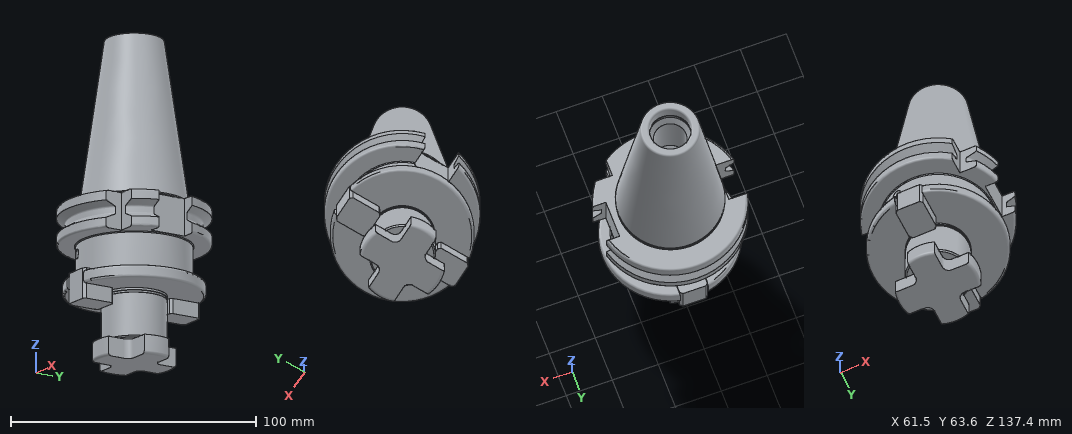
import math

import cadquery as cq


CLEARANCE = 1.0

GAUGE_R = 44.45 / 2
TAPER_SLOPE = 7 / 24 / 2
TAPER_TOP_Z = 68.4
TAPER_LOW_Z = -1.4
TAPER_TOP_FILLET = 1.0
NECK_R = 22.0
NECK_STEP = 0.4
NECK_LOW_Z = -2.2
NECK_FLARE_R = 22.3
NECK_FLARE_Z = -2.7

FLANGE_R = 63.55 / 2
FLANGE_TOP_Z = -3.2
FLANGE_LOW_Z = -19.1
FLANGE_FILLET = 1.0
GROOVE_MID_Z = -11.1
GROOVE_R = 56.25 / 2
GROOVE_FLOOR_WIDTH = 3.2
GROOVE_FLANK_ANGLE = 30
GROOVE_FILLET = 0.8

SLOT_WIDTH = 16.1
SLOT_END_Z = -26.9
DEEP_SLOT_X = -22.5
SHALLOW_SLOT_X = 25.0
NOTCH_XY = 18.4

BODY_R = 24.0
BODY_TOP_CHAMFER = 0.4
BODY_LOW_CHAMFER = 0.6
COLLAR_R = 58.7 / 2
COLLAR_TOP_Z = -34.6
SHOULDER_Z = -40.0
COLLAR_TOP_FILLET = 1.2
COLLAR_LOW_FILLET = 1.0

SPIGOT_R = 27 / 2
SPIGOT_END_Z = -60.8
SPIGOT_CHAMFER = 0.6
UNDERCUT_DEPTH = 0.15
UNDERCUT_TOP_Z = -40.9
UNDERCUT_LOW_Z = -42.0

KEY_WIDTH = 12.2
KEY_INNER_Y = 13.8
KEY_OUTER_Y = 28.5
KEY_TOP_Z = -33.5
KEY_LOW_Z = -46.4
KEY_CHAMFER = 1.1

HEAD_R = 17.6
HEAD_LOW_Z = -69.0
HEAD_FILLET = 1.3
ARM_WIDTH = 12.0
ARM_FILLET = 2.9

BORE_R = 8.5
BORE_ENTRY_FILLET = 1.0
RELIEF_R = 8.9
RELIEF_TOP_Z = TAPER_TOP_Z - 5.7
RELIEF_LOW_Z = TAPER_TOP_Z - 8.6
THREAD_R = 6.9
THREAD_LOW_Z = TAPER_TOP_Z - 32.0
CORE_R = 5.2
CORE_FLOOR_Z = -30.0
DRILL_POINT_ANGLE = 118

COOLANT_Z = -23.6
COOLANT_ANGLE = 20
COOLANT_MOUTH_R = 2.1
COOLANT_R = 1.0
COOLANT_DEPTH = 8.0


def revolved(points):
    """Solid of revolution about Z from (radius, z) points, closed along the axis."""
    closed = [(0, points[0][1])] + points + [(0, points[-1][1])]
    return cq.Workplane("XZ").polyline(closed).close().revolve(360, (0, 0), (0, 1))


def taper_radius(z):
    return GAUGE_R - TAPER_SLOPE * z


def taper():
    points = [
        (taper_radius(TAPER_TOP_Z), TAPER_TOP_Z),
        (taper_radius(TAPER_LOW_Z), TAPER_LOW_Z),
        (NECK_R, TAPER_LOW_Z - NECK_STEP),
        (NECK_R, NECK_LOW_Z),
        (NECK_FLARE_R, NECK_FLARE_Z),
        (NECK_FLARE_R, FLANGE_TOP_Z),
    ]
    return revolved(points).faces(">Z").edges().fillet(TAPER_TOP_FILLET)


def flange():
    half_floor = GROOVE_FLOOR_WIDTH / 2
    flank_height = (FLANGE_R - GROOVE_R) * math.tan(math.radians(GROOVE_FLANK_ANGLE))
    half_mouth = half_floor + flank_height
    disc = revolved([
        (FLANGE_R, FLANGE_TOP_Z),
        (FLANGE_R, GROOVE_MID_Z + half_mouth),
        (GROOVE_R, GROOVE_MID_Z + half_floor),
        (GROOVE_R, GROOVE_MID_Z - half_floor),
        (FLANGE_R, GROOVE_MID_Z - half_mouth),
        (FLANGE_R, FLANGE_LOW_Z),
    ])
    floor_edges = cq.selectors.RadiusNthSelector(0)
    disc = disc.edges("%CIRCLE").edges(floor_edges).fillet(GROOVE_FILLET)
    return disc.faces("<Z or >Z").edges().fillet(FLANGE_FILLET)


def collar():
    disc = cq.Workplane("XY", origin=(0, 0, SHOULDER_Z)).circle(COLLAR_R).extrude(COLLAR_TOP_Z - SHOULDER_Z)
    disc = disc.faces(">Z").edges().fillet(COLLAR_TOP_FILLET)
    return disc.faces("<Z").edges().fillet(COLLAR_LOW_FILLET)


def body_and_spigot():
    undercut_r = SPIGOT_R - UNDERCUT_DEPTH
    return revolved([
        (BODY_R + BODY_TOP_CHAMFER, FLANGE_LOW_Z),
        (BODY_R, FLANGE_LOW_Z - BODY_TOP_CHAMFER),
        (BODY_R, COLLAR_TOP_Z + BODY_LOW_CHAMFER),
        (BODY_R + BODY_LOW_CHAMFER, COLLAR_TOP_Z),
        (SPIGOT_R, COLLAR_TOP_Z),
        (SPIGOT_R, UNDERCUT_TOP_Z),
        (undercut_r, UNDERCUT_TOP_Z - UNDERCUT_DEPTH),
        (undercut_r, UNDERCUT_LOW_Z + UNDERCUT_DEPTH),
        (SPIGOT_R, UNDERCUT_LOW_Z),
        (SPIGOT_R, SPIGOT_END_Z + SPIGOT_CHAMFER),
        (SPIGOT_R - SPIGOT_CHAMFER, SPIGOT_END_Z),
    ])


def key_block(side, outer_y):
    """Block of the key width from the key's inner face out to outer_y; side is the sign of Y."""
    height = KEY_TOP_Z - KEY_LOW_Z
    middle_y = side * (KEY_INNER_Y + outer_y) / 2
    base = cq.Workplane("XY", origin=(0, middle_y, KEY_LOW_Z))
    return base.rect(KEY_WIDTH, outer_y - KEY_INNER_Y).extrude(height)


def key_seat(side):
    """Seat through the collar rim, kept outside the body so that the body stays whole."""
    core = cq.Workplane("XY", origin=(0, 0, KEY_LOW_Z)).circle(BODY_R).extrude(KEY_TOP_Z - KEY_LOW_Z)
    return key_block(side, COLLAR_R).cut(core)


def drive_key(side):
    return key_block(side, KEY_OUTER_Y).edges("|Z").chamfer(KEY_CHAMFER)


def screw_head():
    height = SPIGOT_END_Z - HEAD_LOW_Z
    base = cq.Workplane("XY", origin=(0, 0, HEAD_LOW_Z))
    cross = base.rect(2 * HEAD_R, ARM_WIDTH).extrude(height)
    cross = cross.union(base.rect(ARM_WIDTH, 2 * HEAD_R).extrude(height))
    corner = ARM_WIDTH / 2
    reach = corner + CLEARANCE
    inner_edges = cq.selectors.BoxSelector((-reach, -reach, HEAD_LOW_Z), (reach, reach, SPIGOT_END_Z))
    cross = cross.edges("|Z").edges(inner_edges).fillet(ARM_FILLET)
    disc = base.circle(HEAD_R).extrude(height).faces("<Z").edges().fillet(HEAD_FILLET)
    return cross.intersect(disc)


def drive_slot(floor_x):
    """Round-ended slot cut from the flange rim inwards to the plane x = floor_x."""
    outward = math.copysign(1, floor_x)
    depth = outward * (FLANGE_R + CLEARANCE - abs(floor_x))
    half_width = SLOT_WIDTH / 2
    arc_z = SLOT_END_Z + half_width
    outline = cq.Workplane("YZ", origin=(floor_x, 0, 0)).moveTo(-half_width, FLANGE_TOP_Z)
    outline = outline.lineTo(-half_width, arc_z)
    outline = outline.threePointArc((0, SLOT_END_Z), (half_width, arc_z))
    return outline.lineTo(half_width, FLANGE_TOP_Z).close().extrude(depth)


def orientation_notch():
    height = FLANGE_TOP_Z - FLANGE_LOW_Z
    corner = cq.Workplane("XY", origin=(NOTCH_XY, -NOTCH_XY, FLANGE_LOW_Z))
    return corner.rect(FLANGE_R, -FLANGE_R, centered=False).extrude(height)


def central_bore():
    """Stepped bore: plain entry with a relief groove, threaded length, drill point and core hole."""
    relief_step = RELIEF_R - BORE_R
    point_height = (THREAD_R - CORE_R) / math.tan(math.radians(DRILL_POINT_ANGLE / 2))
    return revolved([
        (BORE_R, TAPER_TOP_Z),
        (BORE_R, RELIEF_TOP_Z),
        (RELIEF_R, RELIEF_TOP_Z - relief_step),
        (RELIEF_R, RELIEF_LOW_Z + relief_step),
        (BORE_R, RELIEF_LOW_Z),
        (THREAD_R, RELIEF_LOW_Z - (BORE_R - THREAD_R)),
        (THREAD_R, THREAD_LOW_Z),
        (CORE_R, THREAD_LOW_Z - point_height),
        (CORE_R, CORE_FLOOR_Z),
    ])


def coolant_hole():
    """Countersunk radial hole, built along Z from the axis and then laid down."""
    countersink = COOLANT_MOUTH_R - COOLANT_R
    hole = revolved([
        (COOLANT_MOUTH_R, BODY_R),
        (COOLANT_R, BODY_R - countersink),
        (COOLANT_R, BODY_R - COOLANT_DEPTH),
    ])
    mouth_extra = cq.Workplane("XY", origin=(0, 0, BODY_R)).circle(COOLANT_MOUTH_R).extrude(CLEARANCE)
    hole = hole.union(mouth_extra).rotate((0, 0, 0), (1, 0, 0), 90)
    return hole.rotate((0, 0, 0), (0, 0, 1), -COOLANT_ANGLE).translate((0, 0, COOLANT_Z))


result = flange().cut(orientation_notch()).union(body_and_spigot()).union(collar()).union(taper())
for slot_floor_x in (DEEP_SLOT_X, SHALLOW_SLOT_X):
    result = result.cut(drive_slot(slot_floor_x))
for key_side in (-1, 1):
    result = result.cut(key_seat(key_side)).union(drive_key(key_side))
result = result.union(screw_head())
result = result.cut(central_bore()).cut(coolant_hole())
mouth_edge = cq.selectors.RadiusNthSelector(0)
result = result.faces(">Z").edges().edges(mouth_edge).fillet(BORE_ENTRY_FILLET)